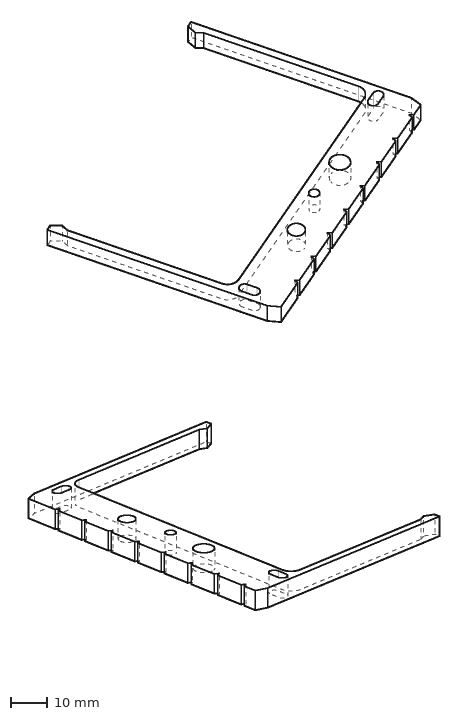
import cadquery as cq

length_x = 71.4
width_y = 90.7
thickness = 6.0
half_width = width_y / 2
arm_width = 2.4
spine_width = 15.2
spine_inner_x = length_x - spine_width
inner_half_width = half_width - arm_width
corner_radius = 3.45

chamfer_x = 3.6
chamfer_y = 1.3

arm_end_width = 2.0
barb_depth = 3.4
barb_tip_x = 3.0
barb_root_x = 5.1

notch_count = 8
notch_span = 72.1
notch_pitch = notch_span / (notch_count - 1)
notch_center_y = 3.1
notch_depth = 1.2
notch_width = 1.2

round_holes = [
    (61.1, 14.0, 6.0),
    (60.0, 0.0, 3.1),
    (61.95, -15.1, 5.0),
]

slot_length = 6.2
slot_width = 3.1
slot_edge_x = 57.5
upper_slot_y = 40.8
lower_slot_y = -41.8


def make_frame():
    """U-shaped plate with barbed arms, chamfered outside and filleted inside."""
    upper_half = [
        (spine_inner_x, inner_half_width),
        (barb_root_x, inner_half_width),
        (barb_tip_x, half_width - barb_depth),
        (0, half_width - arm_end_width),
        (0, half_width),
        (length_x - chamfer_x, half_width),
        (length_x, half_width - chamfer_y),
    ]
    lower_half = [(x, -y) for x, y in reversed(upper_half)]
    frame = cq.Workplane("XY").polyline(upper_half + lower_half).close().extrude(thickness)
    inner_corners = cq.selectors.BoxSelector(
        (spine_inner_x - 0.9, -half_width, -0.9),
        (spine_inner_x + 0.9, half_width, thickness + 0.9),
    )
    return frame.edges("|Z").edges(inner_corners).fillet(corner_radius)


def make_notch(y):
    """Triangular prism opening onto the outer face of the spine."""
    outline = [
        (length_x - notch_depth, y),
        (length_x, y + notch_width / 2),
        (length_x, y - notch_width / 2),
    ]
    return cq.Workplane("XY").polyline(outline).close().extrude(thickness)


def make_slot(x, y, angle):
    """Round-ended cutter with its long axis at the given angle from X."""
    return cq.Workplane("XY").center(x, y).slot2D(slot_length, slot_width, angle).extrude(thickness)


result = make_frame()

first_notch_y = notch_center_y - notch_span / 2
for index in range(notch_count):
    result = result.cut(make_notch(first_notch_y + index * notch_pitch))

for hole_x, hole_y, diameter in round_holes:
    hole = cq.Workplane("XY").center(hole_x, hole_y).circle(diameter / 2).extrude(thickness)
    result = result.cut(hole)

result = result.cut(make_slot(slot_edge_x + slot_width / 2, upper_slot_y, 90))
result = result.cut(make_slot(slot_edge_x + slot_length / 2, lower_slot_y, 0))